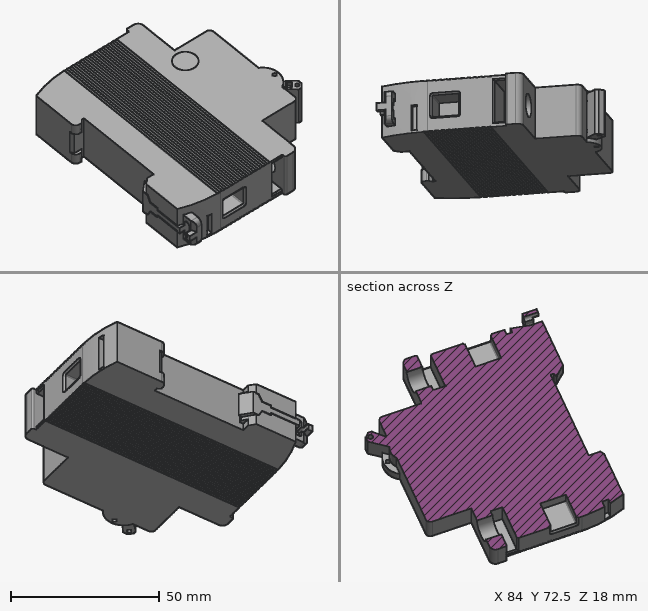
import cadquery as cq
import math


LENGTH = 84.0
HEIGHT = 72.5
THICKNESS = 18.0
HALF_THICKNESS = THICKNESS / 2

FLANGE_HALF = 41.0
BODY_HALF = 39.5
FOOT_HALF = 36.4
HEAD_HALF = 22.6
HEAD_TOP = 65.6
SHOULDER = 49.7
FLANGE_BOTTOM = 44.0
CURVE_START = 16.5
HEAD_RADIUS = 1.7
SHOULDER_RADIUS = 2.3
FLANGE_LIP_RADIUS = 0.7

NOTCH_TOP = 5.0
NOTCH_LEFT = -17.55
NOTCH_RIGHT = 18.4
NUB_REACH = 1.3
NUB_TOP = 4.0
NUB_SLOPE_END = 2.9
NUB_RADIUS = 2.0
FOOT_SLOPE_TOP = 2.1
FOOT_SLOPE_RUN = 1.9
NUB_RELIEF_RUN = 1.5
NUB_RELIEF_RISE = 0.8

GROOVE_COUNT = 12
GROOVE_PITCH = 2.0
GROOVE_WIDTH = 1.0
GROOVE_DEPTH = 0.2
GROOVE_START = 15.3

PLUG_DIAMETER = 9.0
PLUG_X = -16.3
PLUG_Y = 49.05
PLUG_RECESS = 0.1

HUB_X = 8.4
HUB_Y = 62.2
HUB_RADIUS = 7.0
LEVER_SLOT_HALF = 5.5
DRUM_RADIUS = 4.5
PIN_DIAMETER = 1.5
HUB_PIN_Y = 67.5
LEVER_ANGLE = 45
LEVER_HALF_WIDTH = 1.9
LEVER_START = 6.8
LEVER_SHOULDER = 12.3
LEVER_TIP = 13.2
LEVER_TIP_SIDE = 1.0
LEVER_ROOT = 0.9
LEVER_FLARE = 2.4
LEVER_BOTTOM = -7.6
LEVER_TOP = 8.1
ARM_BOTTOM = -4.7
ARM_TOP = 5.3
LEVER_PIN_REACH = 11.7
LEVER_PIN_OFFSET = 0.25
LEVER_POCKET_REACH = 8.7
LEVER_POCKET_SIZE = 2.3
LEVER_POCKET_DEPTH = 1.3
LEVER_LEDGE = 0.6
LEVER_LEDGE_DEPTH = 0.7

TERMINAL_BOTTOM = 39.3
TERMINAL_HALF = 7.8
TERMINAL_RIM = 0.5
TERMINAL_DEPTH = 13.4
SCREW_HOLE_DIAMETER = 8.0
WIRE_BOTTOM = 17.5
WIRE_TOP = 28.0
WIRE_HALF = 4.45
WIRE_RIM = 0.7
WIRE_CORNER = 1.0
WIRE_DEPTH = 10.1
VENT_DEPTH = 1.7
LEFT_VENT_Y = (5.55, 7.65)
LEFT_VENT_Z = (-8.1, 6.1)
RIGHT_VENT_Y = (10.9, 12.85)
RIGHT_VENT_Z = (-8.1, 0.75)

LATCH_BOTTOM = -0.25
LATCH_END = LENGTH - FLANGE_HALF
LATCH_THROAT = 2.0
HOOK_HALF = 4.7
HOOK_TIP_X = 15.45
HOOK_TIP_Y = 3.5
HOOK_BASE_X = 18.9
GUIDE_HALF = 6.1
GUIDE_X = 16.9
HOOK_END = 21.2
NECK_START = 22.6
NECK_HALF = 2.1
NECK_END = 26.2
STRIP_HALF = 1.3
STRIP_END = 37.9
PULL_START = 37.0
PULL_HALF = 5.55
PULL_LIP_X = 40.9
PULL_TIP_BOTTOM = 3.0
PULL_SLOT_START = 37.8
PULL_SLOT_END = 40.15
PULL_SLOT_HALF = 3.5
PULL_HOLE_DIAMETER = 2.1
PULL_HOLE_X = 40.5


def block(x_range, y_range, z_range):
    """Box between two limits on each axis."""
    corner = (min(x_range), min(y_range), min(z_range))
    size = [max(r) - min(r) for r in (x_range, y_range, z_range)]
    return cq.Workplane("XY").box(*size, centered=False).translate(corner)


def prism(outline, low, high):
    """Close an XY outline and extrude it between two Z levels."""
    return outline.close().extrude(high - low).translate((0, 0, low))


def plate(points, low, high):
    """Extrude a polygon in X and Z between two Y levels."""
    plane = cq.Plane(origin=(0, high, 0), xDir=(1, 0, 0), normal=(0, -1, 0))
    return cq.Workplane(plane).polyline(points).close().extrude(high - low)


def pin_hole(diameter, x, y):
    """Cylinder along Z through the full thickness."""
    cylinder = cq.Workplane("XY").center(x, y).circle(diameter / 2)
    return cylinder.extrude(THICKNESS).translate((0, 0, -HALF_THICKNESS))


def mirrored(shape):
    """The shape together with its mirror image on the other X side."""
    return shape.union(shape.mirror("YZ"))


def side_curve_x(y):
    """Half width of the housing on the arc below CURVE_START."""
    drop = BODY_HALF - FOOT_HALF
    radius = (drop**2 + CURVE_START**2) / (2 * drop)
    return BODY_HALF - radius + math.sqrt(radius**2 - (CURVE_START - y) ** 2)


def round_corners(solid, x, y, radius):
    """Round the two edges along Z at the points (x, y) and (-x, y)."""
    for side in (-1, 1):
        corner = cq.selectors.NearestToPointSelector((side * x, y, 0))
        solid = solid.edges("|Z").edges(corner).fillet(radius)
    return solid


def make_housing():
    """Stepped body with the rail notch, before any cuts."""
    nub_tip = NOTCH_LEFT + NUB_REACH
    arc_mid = (side_curve_x(CURVE_START / 2), CURVE_START / 2)
    nub_mid = NUB_RADIUS * (1 - math.sqrt(0.5))
    outline = (
        cq.Workplane("XY")
        .moveTo(-FOOT_HALF, 0)
        .lineTo(nub_tip - NUB_RADIUS, 0)
        .threePointArc((nub_tip - nub_mid, nub_mid), (nub_tip, NUB_RADIUS))
        .lineTo(nub_tip, NUB_SLOPE_END)
        .lineTo(NOTCH_LEFT, NUB_TOP)
        .lineTo(NOTCH_LEFT, NOTCH_TOP)
        .lineTo(NOTCH_RIGHT, NOTCH_TOP)
        .lineTo(NOTCH_RIGHT, FOOT_SLOPE_TOP)
        .lineTo(NOTCH_RIGHT + FOOT_SLOPE_RUN, 0)
        .lineTo(FOOT_HALF, 0)
        .threePointArc(arc_mid, (BODY_HALF, CURVE_START))
        .lineTo(BODY_HALF, FLANGE_BOTTOM)
        .lineTo(FLANGE_HALF, FLANGE_BOTTOM)
        .lineTo(FLANGE_HALF, SHOULDER)
        .lineTo(HEAD_HALF, SHOULDER)
        .lineTo(HEAD_HALF, HEAD_TOP)
        .lineTo(-HEAD_HALF, HEAD_TOP)
        .lineTo(-HEAD_HALF, SHOULDER)
        .lineTo(-FLANGE_HALF, SHOULDER)
        .lineTo(-FLANGE_HALF, FLANGE_BOTTOM)
        .lineTo(-BODY_HALF, FLANGE_BOTTOM)
        .lineTo(-BODY_HALF, CURVE_START)
        .threePointArc((-arc_mid[0], arc_mid[1]), (-FOOT_HALF, 0))
    )
    housing = prism(outline, -HALF_THICKNESS, HALF_THICKNESS)
    housing = round_corners(housing, HEAD_HALF, HEAD_TOP, HEAD_RADIUS)
    housing = round_corners(housing, FLANGE_HALF, SHOULDER, SHOULDER_RADIUS)
    return round_corners(housing, FLANGE_HALF, FLANGE_BOTTOM, FLANGE_LIP_RADIUS)


def make_nub_relief():
    """Gap in the left nub, as wide as the hook, with a sloped back."""
    outline = (
        cq.Workplane("XY")
        .moveTo(NOTCH_LEFT - NUB_RELIEF_RUN, 0)
        .lineTo(NOTCH_LEFT, NUB_RELIEF_RISE)
        .lineTo(NOTCH_LEFT, NOTCH_TOP)
        .lineTo(NOTCH_LEFT + NUB_REACH, NOTCH_TOP)
        .lineTo(NOTCH_LEFT + NUB_REACH, 0)
    )
    return prism(outline, -HOOK_HALF, HOOK_HALF)


def make_grooves():
    """Shallow grip grooves across both broad sides."""
    grooves = cq.Workplane("XY")
    for index in range(GROOVE_COUNT):
        low = GROOVE_START + index * GROOVE_PITCH
        for side in (-1, 1):
            z_range = (side * (HALF_THICKNESS - GROOVE_DEPTH), side * HALF_THICKNESS)
            groove = block((-BODY_HALF, BODY_HALF), (low, low + GROOVE_WIDTH), z_range)
            grooves = grooves.add(groove)
    return grooves.combine()


def make_plug_outline():
    """Very shallow round recess in the +Z side."""
    circle = cq.Workplane("XY").center(PLUG_X, PLUG_Y).circle(PLUG_DIAMETER / 2)
    return circle.extrude(PLUG_RECESS).translate((0, 0, HALF_THICKNESS - PLUG_RECESS))


def make_terminal_pocket():
    """Clamp chamber under the flange, with the screw hole through the shoulder."""
    inner_half = TERMINAL_HALF - TERMINAL_RIM
    inner_bottom = TERMINAL_BOTTOM + TERMINAL_RIM
    chamber = block(
        (-BODY_HALF, -BODY_HALF + TERMINAL_DEPTH),
        (inner_bottom, FLANGE_BOTTOM),
        (-inner_half, inner_half),
    )
    height = FLANGE_BOTTOM - TERMINAL_BOTTOM
    rim = (
        cq.Workplane("YZ", origin=(-BODY_HALF, 0, 0))
        .center(TERMINAL_BOTTOM + height / 2, 0)
        .rect(height, 2 * TERMINAL_HALF)
        .workplane(offset=TERMINAL_RIM)
        .center(TERMINAL_RIM / 2, 0)
        .rect(height - TERMINAL_RIM, 2 * inner_half)
        .loft(ruled=True)
    )
    screw_x = -(FLANGE_HALF + HEAD_HALF) / 2
    screw = (
        cq.Workplane("XZ", origin=(screw_x, SHOULDER, 0))
        .circle(SCREW_HOLE_DIAMETER / 2)
        .extrude(SHOULDER - FLANGE_BOTTOM)
    )
    return chamber.union(rim).union(screw)


def make_wire_entry():
    """Rounded rectangular wire hole with a chamfered mouth."""
    face = cq.Workplane("YZ", origin=(-BODY_HALF, (WIRE_BOTTOM + WIRE_TOP) / 2, 0))
    height = WIRE_TOP - WIRE_BOTTOM
    width = 2 * WIRE_HALF
    outer = cq.Sketch().rect(height, width).vertices().fillet(WIRE_CORNER)
    inner = cq.Sketch().rect(height - 2 * WIRE_RIM, width - 2 * WIRE_RIM)
    inner = inner.vertices().fillet(WIRE_CORNER - WIRE_RIM)
    mouth = face.placeSketch(outer).extrude(WIRE_RIM, taper=45)
    return mouth.union(face.placeSketch(inner).extrude(WIRE_DEPTH))


def make_vent(side, y_range, z_range):
    """Narrow slot cut into the curved lower flank."""
    floor_x = side_curve_x(min(y_range)) - VENT_DEPTH
    return block((side * floor_x, side * BODY_HALF), y_range, z_range)


def make_hub():
    """Round boss over the head with a slot for the lever, and the lever drum in it."""
    centre = cq.Workplane("XY", origin=(HUB_X, HUB_Y, 0))
    boss = centre.circle(HUB_RADIUS).extrude(HALF_THICKNESS, both=True)
    drum = centre.circle(DRUM_RADIUS).extrude(LEVER_SLOT_HALF, both=True)
    slot = block(
        (HUB_X - HUB_RADIUS, HUB_X + HUB_RADIUS),
        (HEAD_TOP, HUB_Y + HUB_RADIUS),
        (-LEVER_SLOT_HALF, LEVER_SLOT_HALF),
    )
    hub = boss.cut(slot).union(drum)
    return hub.cut(pin_hole(PIN_DIAMETER, HUB_X, HUB_PIN_Y))


def make_lever():
    """Lever laid out along +X from the hub centre, then turned to its angle."""
    half = LEVER_HALF_WIDTH
    top_sum = (HEIGHT + LATCH_BOTTOM - HUB_Y) * math.sqrt(2)
    blade_points = [
        (0, -half),
        (LEVER_SHOULDER, -half),
        (LEVER_TIP, -LEVER_TIP_SIDE),
        (LEVER_TIP, top_sum - LEVER_TIP),
        (top_sum - LEVER_FLARE, LEVER_FLARE),
        (0, LEVER_ROOT),
    ]
    lever = prism(cq.Workplane("XY").polyline(blade_points), LEVER_BOTTOM, LEVER_TOP)
    for z_range in ((LEVER_BOTTOM, ARM_BOTTOM), (ARM_TOP, LEVER_TOP)):
        lever = lever.cut(block((0, LEVER_START), (-LEVER_FLARE, LEVER_FLARE), z_range))

    pocket_start = LEVER_POCKET_REACH - LEVER_POCKET_SIZE / 2
    pocket_end = pocket_start + LEVER_POCKET_SIZE
    pocket_sides = (-LEVER_POCKET_SIZE / 2, LEVER_POCKET_SIZE / 2)
    ledge_z = LEVER_TOP - LEVER_LEDGE_DEPTH
    floor_z = LEVER_TOP - LEVER_POCKET_DEPTH
    lever = lever.cut(block((pocket_start, pocket_end), pocket_sides, (ledge_z, LEVER_TOP)))
    lever = lever.cut(block((pocket_start + LEVER_LEDGE, pocket_end), pocket_sides, (floor_z, ledge_z)))
    lever = lever.cut(pin_hole(PIN_DIAMETER, LEVER_PIN_REACH, LEVER_PIN_OFFSET))
    return lever.rotate((0, 0, 0), (0, 0, 1), LEVER_ANGLE).translate((HUB_X, HUB_Y, 0))


def make_latch_hook():
    """Hook under the right end of the rail notch, with its wider guide block."""
    hook = (
        cq.Workplane("XY")
        .moveTo(GUIDE_X, NOTCH_TOP)
        .lineTo(GUIDE_X, NUB_TOP)
        .lineTo(HOOK_TIP_X, HOOK_TIP_Y)
        .lineTo(HOOK_BASE_X, LATCH_BOTTOM)
        .lineTo(HOOK_END, LATCH_BOTTOM)
        .lineTo(HOOK_END, NOTCH_TOP)
    )
    guide = (
        cq.Workplane("XY")
        .moveTo(GUIDE_X, NOTCH_TOP)
        .lineTo(GUIDE_X, NUB_TOP)
        .lineTo(NOTCH_RIGHT, FOOT_SLOPE_TOP)
        .lineTo(NOTCH_RIGHT, NOTCH_TOP)
    )
    return prism(hook, -HOOK_HALF, HOOK_HALF).union(prism(guide, -GUIDE_HALF, GUIDE_HALF))


def make_latch_strip():
    """Flat strip along the foot, narrowing from the hook to the pull."""
    upper_edge = [
        (HOOK_END, HOOK_HALF),
        (NECK_START, NECK_HALF),
        (NECK_END, NECK_HALF),
        (NECK_END, STRIP_HALF),
        (STRIP_END, STRIP_HALF),
    ]
    lower_edge = [(x, -z) for x, z in reversed(upper_edge)]
    return plate(upper_edge + lower_edge, LATCH_BOTTOM, LATCH_THROAT)


def make_latch_pull():
    """Slotted finger plate beyond the flank, with a drilled tab at its middle."""
    pull = block((PULL_START, LATCH_END), (LATCH_THROAT, NOTCH_TOP), (-PULL_HALF, PULL_HALF))
    pull = pull.edges("|Y and >X").fillet(LATCH_END - PULL_LIP_X)
    underside = (
        cq.Workplane("XY")
        .moveTo(PULL_LIP_X, LATCH_THROAT)
        .lineTo(LATCH_END, PULL_TIP_BOTTOM)
        .lineTo(LATCH_END, LATCH_THROAT)
    )
    pull = pull.cut(prism(underside, -PULL_HALF, PULL_HALF))
    tab = block((PULL_LIP_X, LATCH_END), (LATCH_BOTTOM, NOTCH_TOP), (-STRIP_HALF, STRIP_HALF))
    return pull.union(tab)


def make_pull_opening():
    """Rounded finger slot with a round hole running into the tab."""
    width = PULL_SLOT_END - PULL_SLOT_START
    depth = NOTCH_TOP - LATCH_BOTTOM
    slot = cq.Workplane("XZ", origin=(PULL_SLOT_START + width / 2, NOTCH_TOP, 0))
    slot = slot.slot2D(2 * PULL_SLOT_HALF, width, 90).extrude(depth)
    hole = cq.Workplane("XZ", origin=(PULL_HOLE_X, NOTCH_TOP, 0))
    hole = hole.circle(PULL_HOLE_DIAMETER / 2).extrude(depth)
    return slot.union(hole)


housing = make_housing()
housing = housing.cut(make_nub_relief()).cut(make_grooves()).cut(make_plug_outline())
housing = housing.cut(mirrored(make_terminal_pocket())).cut(mirrored(make_wire_entry()))
housing = housing.cut(make_vent(-1, LEFT_VENT_Y, LEFT_VENT_Z))
housing = housing.cut(make_vent(1, RIGHT_VENT_Y, RIGHT_VENT_Z))
housing = housing.union(make_hub()).union(make_lever())

pull = make_latch_pull().union(make_latch_strip())
pull = pull.cut(make_pull_opening())
result = housing.union(make_latch_hook()).union(pull)